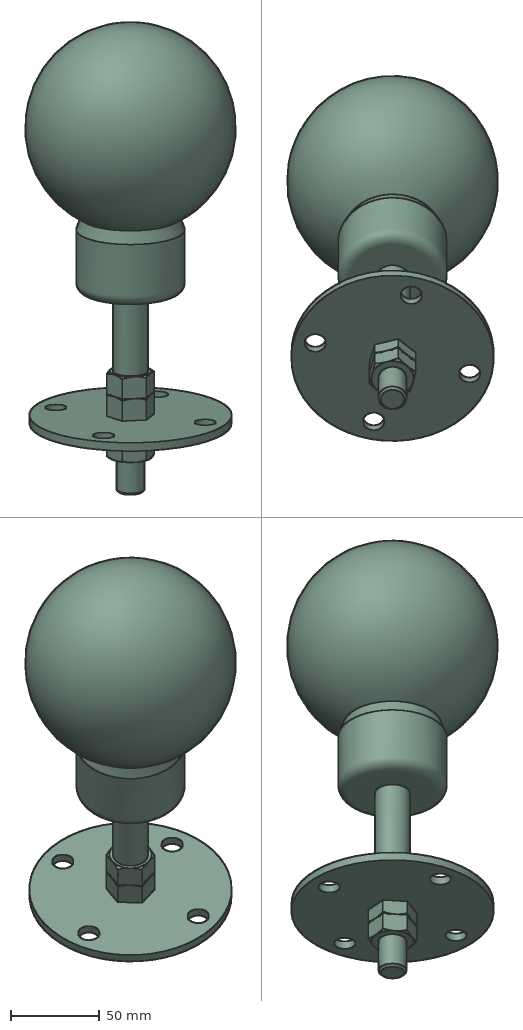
import cadquery as cq
import math

total_height = 275.0
ball_diameter = 120.0

stud_diameter = 16.0
stud_chamfer = 1.5
shank_diameter = 20.0

plate_diameter = 115.0
plate_thickness = 5.0
plate_bottom = 40.5
hole_diameter = 12.0
hole_circle_radius = 45.0
hole_count = 4

nut_across_flats = 24.0
nut_corner_chamfer_angle = 30.0
upper_nut_height = 13.0
lower_nut_bottom = 20.5
lower_nut_height = 11.0

collar_diameter = 62.0
collar_bottom = 118.0
collar_bottom_fillet = 6.0
collar_shoulder = 154.8
collar_top = 162.2
collar_top_inset = 2.8

ball_radius = ball_diameter / 2
ball_center = total_height - ball_radius
plate_top = plate_bottom + plate_thickness
upper_nuts_top = plate_top + 2 * upper_nut_height
nut_across_corners = nut_across_flats / math.cos(math.radians(30))


def cylinder(diameter, bottom, top):
    return cq.Workplane("XY").workplane(offset=bottom).circle(diameter / 2).extrude(top - bottom)


def make_nut(bottom, height, beveled_end):
    """Hexagon with flats facing X and its corners beveled at one end."""
    hexagon = (
        cq.Workplane("XY").workplane(offset=bottom)
        .transformed(rotate=(0, 0, 90))
        .polygon(6, nut_across_corners).extrude(height)
    )
    bevel_width = (nut_across_corners - nut_across_flats) / 2
    bevel_height = bevel_width * math.tan(math.radians(nut_corner_chamfer_angle))
    envelope = cylinder(nut_across_corners, bottom, bottom + height)
    envelope = envelope.faces(beveled_end).chamfer(bevel_height, bevel_width)
    return hexagon.intersect(envelope)


def make_plate():
    holes = (
        cq.Workplane("XY").workplane(offset=plate_bottom)
        .polarArray(hole_circle_radius, 0, 360, hole_count)
        .circle(hole_diameter / 2).extrude(plate_thickness)
    )
    return cylinder(plate_diameter, plate_bottom, plate_top).cut(holes)


def make_collar():
    """Cylinder with a rounded lower edge and a taper that meets the ball."""
    radius = collar_diameter / 2
    body = cylinder(collar_diameter, collar_bottom, collar_shoulder)
    body = body.faces("<Z").edges().fillet(collar_bottom_fillet)
    taper = (
        cq.Workplane("XY").workplane(offset=collar_shoulder).circle(radius)
        .workplane(offset=collar_top - collar_shoulder).circle(radius - collar_top_inset)
        .loft(combine=True)
    )
    return body.union(taper)


stud = cylinder(stud_diameter, 0, upper_nuts_top).faces("<Z").chamfer(stud_chamfer)
shank = cylinder(shank_diameter, upper_nuts_top, collar_bottom)
ball = cq.Workplane("XY").sphere(ball_radius).translate((0, 0, ball_center))

result = stud.union(shank).union(make_plate()).union(make_collar()).union(ball)
for level in range(2):
    result = result.union(make_nut(plate_top + level * upper_nut_height, upper_nut_height, ">Z"))

inner_nut_bottom = lower_nut_bottom + lower_nut_height
result = result.union(make_nut(lower_nut_bottom, lower_nut_height, "<Z"))
result = result.union(make_nut(inner_nut_bottom, plate_bottom - inner_nut_bottom, "<Z"))